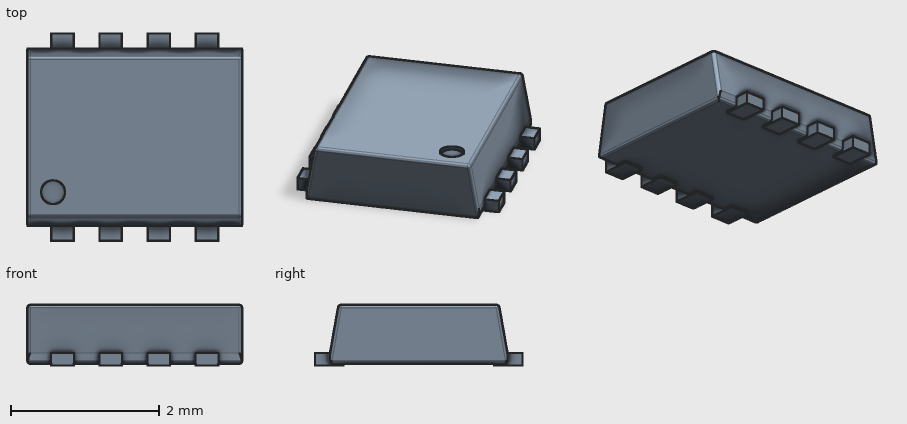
import cadquery as cq
import math

length_x = 2.9
span_y = 2.8
height = 0.82

standoff = 0.023
body_half_y = 1.198
draft_angle = 10.0
edge_radius = 0.045

leads_per_side = 4
lead_pitch = 0.65
lead_width = 0.305
lead_length = 0.39
lead_height = 0.17

mark_diameter = 0.322
mark_depth = 0.05
mark_x = -1.102
mark_y = -0.742


def make_body():
    """Rounded wedge-sided block, trimmed by a box so its sides stand upright beside the leads."""
    slope = math.tan(math.radians(draft_angle))
    top_half_y = body_half_y - (height - lead_height) * slope
    base_half_y = body_half_y + lead_height * slope
    wedge = (
        cq.Workplane("YZ")
        .polyline([
            (-base_half_y, 0),
            (base_half_y, 0),
            (top_half_y, height),
            (-top_half_y, height),
        ])
        .close()
        .extrude(length_x / 2, both=True)
        .edges("not(<Z)")
        .fillet(edge_radius)
    )
    trimming_box = (
        cq.Workplane("XY", origin=(0, 0, standoff))
        .rect(length_x, 2 * body_half_y)
        .extrude(height - standoff)
        .edges("<Z")
        .fillet(edge_radius)
    )
    return wedge.intersect(trimming_box)


def make_leads():
    """Two rows of flat leads, flush with the outer Y span and the seating plane."""
    row_y = (span_y - lead_length) / 2
    return (
        cq.Workplane("XY")
        .rarray(lead_pitch, 2 * row_y, leads_per_side, 2)
        .rect(lead_width, lead_length)
        .extrude(lead_height)
    )


def make_pin_one_mark():
    """Shallow round recess in the top face."""
    return (
        cq.Workplane("XY", origin=(mark_x, mark_y, height - mark_depth))
        .circle(mark_diameter / 2)
        .extrude(mark_depth)
    )


result = make_body().union(make_leads()).cut(make_pin_one_mark())